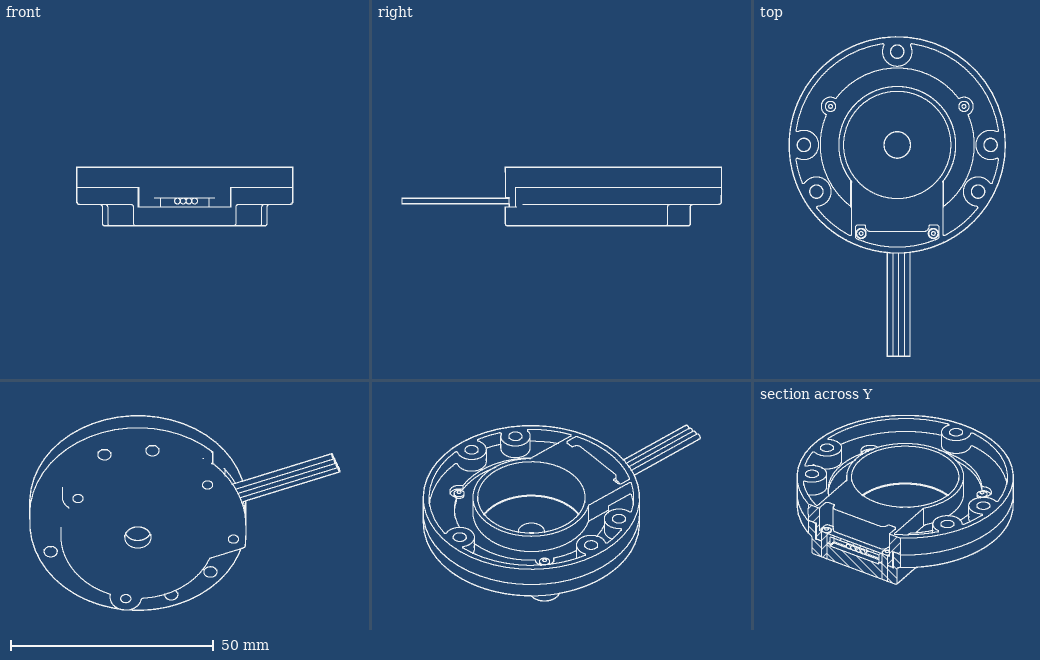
import cadquery as cq
import math

body_radius = 53.4 / 2
overall_length = 78.8
total_height = 14.5
cable_end_y = body_radius - overall_length

near = 0.1

recess_floor_z = 3.15
tube_bottom_z = 3.5
cavity_floor_z = 4.3
tab_bottom_z = 4.7
flange_bottom_z = 5.3
slot_top_z = 6.9
notch_floor_z = 7.8
split_z = 9.45
pocket_floor_z = 10.65

rim_inner_radius = 25.2
tube_outer_radius = 14.4
bore_radius = 13.25
tab_half_width = 11.3
boss_circle_radius = 23.0
boss_radius = 3.6
bolt_hole_radius = 3.2 / 2
boss_angles = (90, 0, 180, -30, -150)
pocket_corner_radius = 0.3

notch_half_width = 10.3
notch_ear_y = -19.7
notch_back_y = -21.35
tongue_half_width = 7.9
tongue_corner_radius = 1.35
notch_corner_radius = 0.7
ear_corner_radius = 0.2

slot_half_width = 6.0
slot_mouth_radius = 1.1
cavity_half_width = 7.1

pin_circle_radius = 19.0
pin_angles = (30, 150)
pin_lug_radius = 2.3
pin_radius = 1.3
pin_tip_radius = 0.5
pin_cone_height = 0.4
upper_pin_top_z = 10.4
tab_pin_x = 8.9
tab_pin_y = -21.8
tab_pin_top_z = 8.1

tab_clearance = 0.2
shaft_hole_radius = 3.2
base_lug_radius = 3.9
foot_half_width = 12.6
base_edge_radius = 0.8
foot_inner_radius = 0.6
foot_bottom_radius = 0.6

wire_count = 4
wire_radius = 0.7
wire_centre_z = 6.15
cable_centre_x = 0.3


def polar(radius, angle):
    """Point at a radius and an angle in degrees from the X axis."""
    return (radius * math.cos(math.radians(angle)), radius * math.sin(math.radians(angle)))


boss_centres = [polar(boss_circle_radius, angle) for angle in boss_angles]
upper_pin_centres = [polar(pin_circle_radius, angle) for angle in pin_angles]
tab_pin_centres = [(-tab_pin_x, tab_pin_y), (tab_pin_x, tab_pin_y)]


def cylinders(radius, bottom, top, centres=((0, 0),)):
    """Upright cylinders of one size between two heights."""
    return cq.Workplane().workplane(offset=bottom).pushPoints(centres).circle(radius).extrude(top - bottom)


def block(half_width, y_min, y_max, bottom, top):
    """Box centred on X between two Y positions and two heights."""
    size = (2 * half_width, y_max - y_min, top - bottom)
    return cq.Workplane().box(*size, centered=(True, False, False)).translate((0, y_min, bottom))


def radial_block(half_width, bottom, top):
    """Block from the axis to the -Y side, ending on the outer cylinder."""
    return block(half_width, -body_radius, 0, bottom, top).intersect(cylinders(body_radius, bottom, top))


def tube_and_tab(clearance=0):
    """Outer form of the centre tube joined to the cable tab, without the bore.

    The clearance widens the sides of the tab.
    """
    tube = cylinders(tube_outer_radius, tube_bottom_z, total_height)
    return tube.union(radial_block(tab_half_width + clearance, tab_bottom_z, total_height))


def make_housing_pocket():
    """Open space in the top of the housing, around the bosses, the tube and the tab."""
    pocket = cylinders(rim_inner_radius, pocket_floor_z, total_height)
    pocket = pocket.cut(cylinders(boss_radius, pocket_floor_z, total_height, boss_centres))
    pocket = pocket.cut(tube_and_tab())
    corners = pocket.edges("|Z").filter(
        lambda edge: math.hypot(edge.Center().x, edge.Center().y) > rim_inner_radius - near
    )
    return corners.fillet(pocket_corner_radius)


def make_floor_opening():
    """Round opening in the housing floor with a lug around each upper pin."""
    opening = cylinders(pin_circle_radius, split_z, pocket_floor_z)
    opening = opening.union(cylinders(pin_lug_radius, split_z, pocket_floor_z, upper_pin_centres))
    return opening.cut(tube_and_tab())


def make_notch():
    """Pocket behind the rim with an ear at each end over the tab pins."""
    notch = block(notch_half_width, -body_radius, notch_ear_y, notch_floor_z, total_height)
    notch = notch.intersect(cylinders(rim_inner_radius, notch_floor_z, total_height))
    notch = notch.edges("|Z").fillet(notch_corner_radius)
    tongue = block(tongue_half_width, notch_back_y, notch_ear_y, notch_floor_z, total_height)
    tongue = tongue.edges("|Z and <Y").fillet(tongue_corner_radius)
    notch = notch.cut(tongue)
    ear_corners = notch.edges("|Z").filter(
        lambda edge: abs(abs(edge.Center().x) - tongue_half_width) < near
        and edge.Center().y > notch_ear_y - near
    )
    return ear_corners.fillet(ear_corner_radius)


def make_cable_slot():
    """Slot from the outer face of the tab inwards, open towards the base."""
    return block(slot_half_width, -body_radius, notch_back_y, tab_bottom_z, slot_top_z)


def make_cable_cavity():
    """Space behind the tab wall where the wires end, sunk a little into the base."""
    cavity = block(cavity_half_width, -body_radius, notch_back_y, cavity_floor_z, slot_top_z)
    return cavity.intersect(cylinders(rim_inner_radius, cavity_floor_z, slot_top_z))


def make_housing():
    """Upper body with rim, bosses, centre tube and cable tab."""
    housing = cylinders(body_radius, split_z, total_height)
    housing = housing.cut(make_housing_pocket()).cut(make_floor_opening())
    housing = housing.union(tube_and_tab())
    housing = housing.cut(cylinders(bore_radius, tube_bottom_z, total_height))
    housing = housing.cut(cylinders(bolt_hole_radius, split_z, total_height, boss_centres))
    housing = housing.cut(make_cable_slot())
    mouth = housing.edges("|Z").filter(
        lambda edge: abs(abs(edge.Center().x) - slot_half_width) < near
        and edge.Center().y < -rim_inner_radius
    )
    housing = mouth.fillet(slot_mouth_radius)
    return housing.cut(make_cable_cavity()).cut(make_notch())


def is_on_body_cylinder(edge):
    """True for the lower rim of the flange and the outer upright corners of the foot."""
    middle = edge.positionAt(0.5)
    return math.hypot(middle.x, middle.y) > body_radius - near


def is_foot_root(edge):
    """True for the inside edges: foot to flange, and the upright ones between parts of the foot."""
    middle = edge.positionAt(0.5)
    radius = math.hypot(middle.x, middle.y)
    level = edge.BoundingBox().zlen < near
    if level:
        return abs(middle.z - flange_bottom_z) < near and radius < rim_inner_radius
    return middle.z < flange_bottom_z and radius < pin_circle_radius + near


def make_base():
    """Lower body: a round flange over a lugged foot, hollowed for the tube and the tab."""
    base = cylinders(body_radius, flange_bottom_z, split_z)
    base = base.union(cylinders(pin_circle_radius, 0, split_z))
    base = base.union(cylinders(base_lug_radius, 0, split_z, upper_pin_centres))
    base = base.union(radial_block(foot_half_width, 0, split_z))
    side_edges = base.edges().filter(lambda edge: 0 < edge.Center().z < flange_bottom_z + near)
    base = side_edges.filter(is_on_body_cylinder).fillet(base_edge_radius)
    root_edges = base.edges().filter(is_foot_root)
    base = root_edges.fillet(foot_inner_radius)
    base = base.faces("<Z").edges().fillet(foot_bottom_radius)
    base = base.cut(tube_and_tab(tab_clearance)).cut(make_cable_cavity())
    base = base.cut(cylinders(bore_radius, recess_floor_z, split_z))
    base = base.cut(cylinders(shaft_hole_radius, 0, recess_floor_z))
    return base.cut(cylinders(bolt_hole_radius, flange_bottom_z, split_z, boss_centres))


def make_pin(centre, top):
    """Straight pin from the underside of the base with a conical tip."""
    cone_z = top - pin_cone_height
    return (
        cq.Workplane("XZ")
        .polyline([(0, 0), (pin_radius, 0), (pin_radius, cone_z), (pin_tip_radius, top), (0, top)])
        .close()
        .revolve(360, (0, 0), (0, 1))
        .translate((*centre, 0))
    )


def make_wire(x):
    """Round wire from the back of the cavity to the free end of the cable."""
    wire = cq.Workplane("XZ", origin=(x, notch_back_y, wire_centre_z)).circle(wire_radius)
    return wire.extrude(notch_back_y - cable_end_y)


pins = [make_pin(centre, upper_pin_top_z) for centre in upper_pin_centres]
pins += [make_pin(centre, tab_pin_top_z) for centre in tab_pin_centres]

housing = make_housing()
base = make_base()
for pin in pins:
    housing = housing.cut(pin)
    base = base.cut(pin)

wires = []
for index in range(wire_count):
    wire_offset = (index - (wire_count - 1) / 2) * 2 * wire_radius
    wires.append(make_wire(cable_centre_x + wire_offset))

result = cq.Compound.makeCompound([body.val() for body in [housing, base, *pins, *wires]])